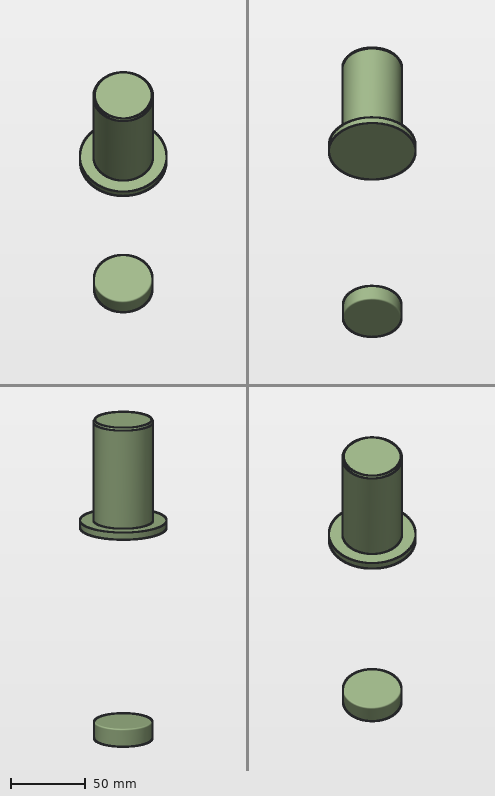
import cadquery as cq

flange_diameter = 58.0
flange_thickness = 5.0
shaft_diameter = 40.0
pin_height = 75.0
pin_chamfer_height = 1.73
pin_chamfer_width = 1.0

disc_diameter = 39.3
disc_thickness = 12.5
disc_edge_radius = 1.0

overall_height = 222.0
disc_base_z = 0.0
pin_base_z = disc_base_z + overall_height - pin_height


def cylinder(diameter, height, base_z):
    """Upright cylinder on the Z axis, starting at base_z."""
    return cq.Workplane("XY").workplane(offset=base_z).circle(diameter / 2).extrude(height)


def make_flanged_pin():
    """Round shaft with a steep chamfer on its top edge and a flange at its foot."""
    shaft = cylinder(shaft_diameter, pin_height, pin_base_z)
    shaft = shaft.faces(">Z").edges().chamfer(pin_chamfer_height, pin_chamfer_width)
    flange = cylinder(flange_diameter, flange_thickness, pin_base_z)
    return shaft.union(flange)


def make_disc():
    """Short disc with both rims rounded."""
    disc = cylinder(disc_diameter, disc_thickness, disc_base_z)
    return disc.faces("<Z or >Z").edges().fillet(disc_edge_radius)


flanged_pin = make_flanged_pin()
disc = make_disc()

result = cq.Compound.makeCompound([flanged_pin.val(), disc.val()])